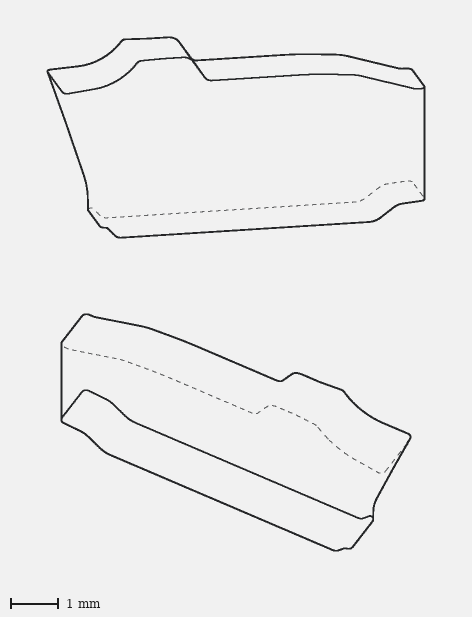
import cadquery as cq
import math

length = 8.0
body_width = 1.0
seat_angle = 5.0
seat_slope = math.tan(math.radians(seat_angle))
edge_radius = 0.1

tip_z = 4.08
land_length = 0.7
groove_radius = 1.2
groove_angle = 51.0
crest_radius = 0.11
shoulder_y = 2.82
shoulder_radius = 0.32

foot = (3.18, 3.86)
foot_radius = 0.2
top_bend_y = 5.52
top_bend_radius = 7.2
tail_start = (6.47, 3.49)
tail_radius = 1.28
tail_end = (7.76, 2.96)
tail_end_radius = 0.4

back_top_z = 2.94
back_bottom_z = 0.32
step_y = 7.38
step_radius = 0.32
heel = (6.89, -0.01)
heel_radius = 0.4
toe_y = 1.21
toe_radius = 0.2
notch_y = 0.98
notch_radius = 0.08

front_foot = (0.86, 0.77)
front_bend_z = 1.3
front_bend_radius = 2.0

hinge_top = (2.22, 4.54)
hinge_bottom = (0.38, 2.84)
flare_angle = 5.2
overrun = 0.8
margin = 0.01
stock_reach = 9.6


def round_corner(before, corner, after, radius):
    """Return the start, middle and end of an arc rounding a corner."""
    vertex = cq.Vector(*corner)
    to_before = (cq.Vector(*before) - vertex).normalized()
    to_after = (cq.Vector(*after) - vertex).normalized()
    half_angle = to_before.getAngle(to_after) / 2
    setback = radius / math.tan(half_angle)
    bisector = (to_before + to_after).normalized()
    middle = vertex + bisector * (radius / math.sin(half_angle) - radius)
    ends = (vertex + to_before * setback, middle, vertex + to_after * setback)
    return [point.toTuple()[:2] for point in ends]


def make_blank():
    """Extrude the rounded side profile, wider than the finished part."""
    groove = math.radians(groove_angle)
    groove_end = (
        land_length + groove_radius * math.sin(groove),
        tip_z + groove_radius * (1 - math.cos(groove)),
    )
    crest_setback = crest_radius * math.tan((groove + math.radians(seat_angle)) / 2)
    crest = (
        groove_end[0] + crest_setback * math.cos(groove),
        groove_end[1] + crest_setback * math.sin(groove),
    )
    shoulder = (shoulder_y, crest[1] - (shoulder_y - crest[0]) * seat_slope)
    top_bend = (top_bend_y, foot[1] - (top_bend_y - foot[0]) * seat_slope)
    toe = (toe_y, heel[1] + (heel[0] - toe_y) * seat_slope)

    corners = [
        (groove_end, 0),
        (crest, crest_radius),
        (shoulder, shoulder_radius),
        (foot, foot_radius),
        (top_bend, top_bend_radius),
        (tail_start, tail_radius),
        (tail_end, tail_end_radius),
        ((length, back_top_z), 0),
        ((length, back_bottom_z), 0),
        ((step_y, back_bottom_z), step_radius),
        (heel, heel_radius),
        (toe, toe_radius),
        ((notch_y, front_foot[1]), notch_radius),
        (front_foot, 0),
        ((front_foot[0], front_bend_z), front_bend_radius),
        ((0, tip_z), 0),
    ]
    groove_middle = (
        land_length + groove_radius * math.sin(groove / 2),
        tip_z + groove_radius * (1 - math.cos(groove / 2)),
    )
    profile = cq.Workplane("YZ").moveTo(0, tip_z).lineTo(land_length, tip_z)
    profile = profile.threePointArc(groove_middle, groove_end)
    for index in range(1, len(corners) - 1):
        corner, radius = corners[index]
        if radius == 0:
            profile = profile.lineTo(*corner)
            continue
        start, middle, end = round_corner(corners[index - 1][0], corner, corners[index + 1][0], radius)
        if corner != crest:
            profile = profile.lineTo(*start)
        profile = profile.threePointArc(middle, end)
    return profile.close().extrude(body_width, both=True)


def make_parallel_flanks():
    """Slab of constant thickness, taller and longer than the profile."""
    return cq.Workplane("XY").box(body_width, 2 * stock_reach, 2 * stock_reach)


def make_flared_flanks():
    """Wedge around the head whose flanks cross the slab's flanks at the hinge line."""
    down_hinge = cq.Vector(0, hinge_bottom[0] - hinge_top[0], hinge_bottom[1] - hinge_top[1])
    section_plane = cq.Plane(origin=(0, *hinge_top), xDir=(1, 0, 0), normal=down_hinge.toTuple())
    spread = math.tan(math.radians(flare_angle))
    inner_half = body_width / 2 - overrun * spread
    outer_half = body_width / 2 + stock_reach * spread
    section = [
        (-inner_half, -overrun),
        (inner_half, -overrun),
        (outer_half, stock_reach),
        (-outer_half, stock_reach),
    ]
    return cq.Workplane(section_plane).polyline(section).close().extrude(stock_reach, both=True)


def make_front_block():
    """Relief face run past the top and bottom of the profile, ahead of a plain block."""
    face_slope = front_foot[0] / (tip_z - front_bend_z)
    bend = (front_foot[0], front_bend_z)
    upper_end = (-overrun * face_slope, tip_z + overrun)
    lower_end = (front_foot[0], -overrun)
    start, middle, end = round_corner(upper_end, bend, lower_end, front_bend_radius)
    return (
        cq.Workplane("YZ")
        .moveTo(*upper_end)
        .lineTo(*start)
        .threePointArc(middle, end)
        .lineTo(*lower_end)
        .lineTo(length + overrun, -overrun)
        .lineTo(length + overrun, tip_z + overrun)
        .close()
        .extrude(body_width, both=True)
    )


def round_front_edges(block):
    """Round the side edges that bound the relief face."""
    front_edges = []
    for edge in block.edges().vals():
        center = edge.Center()
        on_flank = abs(center.x) > body_width / 4
        on_front = center.y < front_foot[0] + margin and -overrun < center.z < tip_z + overrun - margin
        if on_flank and on_front:
            front_edges.append(edge)
    return block.newObject(front_edges).fillet(edge_radius)


front_block = make_front_block()
slab = round_front_edges(front_block.intersect(make_parallel_flanks()))
flared_head = round_front_edges(front_block.intersect(make_flared_flanks()))
body = make_blank().intersect(slab.union(flared_head))
result = body.faces(">Y").edges("|Z").fillet(edge_radius)